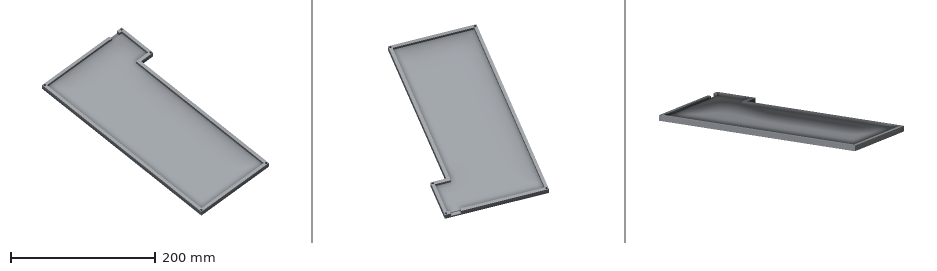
import cadquery as cq

length = 319.5
width = 152.0
height = 8.0
tab_length = 63.3
tab_width = 23.0
body_width = width - tab_width

wall = 4.8
tab_left_wall = 5.5
step_wall = 5.0
floor = 3.8

notch_from_top = 9.0
notch_width = 15.0
notch_floor = 3.0

hole_diameter = 3.5
hole_inset = 2.5


def box(x_min, x_max, y_min, y_max, z_min):
    """Block rising from z_min to the top of the tray."""
    return (
        cq.Workplane("XY", origin=(x_min, y_min, z_min))
        .box(x_max - x_min, y_max - y_min, height - z_min, centered=False)
    )


def outer_body():
    main = box(0, length, 0, body_width, 0)
    tab = box(0, tab_length, 0, width, 0)
    return main.union(tab)


def cavity():
    """Open pocket; the left wall is slightly thicker along the tab."""
    main = box(wall, length - wall, wall, body_width - step_wall, floor)
    tab = box(tab_left_wall, tab_length - step_wall, wall, width - wall, floor)
    return main.union(tab)


def cable_notch():
    y_max = width - notch_from_top
    return box(0, tab_left_wall, y_max - notch_width, y_max, notch_floor)


def screw_holes():
    centres = [
        (hole_inset, hole_inset),
        (length - hole_inset, hole_inset),
        (length - hole_inset, body_width - hole_inset),
        (tab_length - hole_inset, width - hole_inset),
        (hole_inset, width - hole_inset),
    ]
    return cq.Workplane("XY").pushPoints(centres).circle(hole_diameter / 2).extrude(height)


result = outer_body().cut(cavity()).cut(cable_notch()).cut(screw_holes())